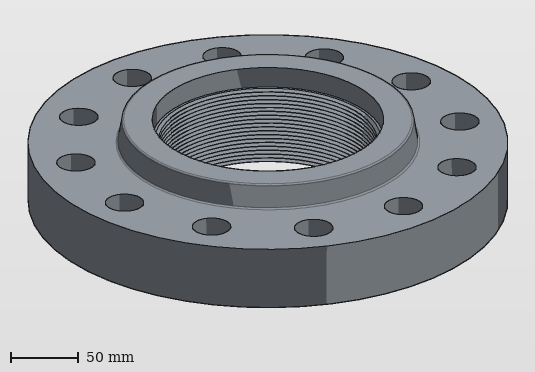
import cadquery as cq

flange_diameter = 355.5
flange_thickness = 48.5
bolt_circle_diameter = 292.2
bolt_hole_diameter = 28.5
bolt_hole_count = 12

raised_face_diameter = 241.5
raised_face_height = 7.5

overall_height = 74.5
hub_base_radius = 111.3
hub_top_radius = 108.0
hub_edge_fillet = 1.5

counterbore_radius = 85.5

thread_pitch = 3.15
thread_depth = 2.5
thread_taper = 1 / 32
crest_radius_at_bottom = 79.3
crest_count = 19

tolerance = 0.05

flange_top = raised_face_height + flange_thickness


def crest_radius(height):
    """Radius of the thread crests, widening upwards with the taper."""
    return crest_radius_at_bottom + thread_taper * height


def make_flange():
    raised_face = cq.Workplane("XY").circle(raised_face_diameter / 2).extrude(raised_face_height)
    disc = (
        cq.Workplane("XY")
        .workplane(offset=raised_face_height)
        .circle(flange_diameter / 2)
        .extrude(flange_thickness)
    )
    return raised_face.union(disc)


def make_hub():
    return (
        cq.Workplane("XZ")
        .moveTo(0, flange_top)
        .lineTo(hub_base_radius, flange_top)
        .lineTo(hub_top_radius, overall_height)
        .lineTo(0, overall_height)
        .close()
        .revolve(360, (0, 0, 0), (0, 1, 0))
    )


def is_hub_edge(edge):
    """True for the circles at the foot and at the top of the hub."""
    return (
        edge.geomType() == "CIRCLE"
        and edge.radius() <= hub_base_radius + tolerance
        and edge.Center().z >= flange_top - tolerance
    )


def make_bore():
    """Threaded bore and counterbore as one revolved cutting body."""
    counterbore_floor = (crest_count - 0.5) * thread_pitch
    profile = [(0, 0)]
    for index in range(crest_count):
        crest_height = index * thread_pitch
        root_height = crest_height + thread_pitch / 2
        root_radius = crest_radius(root_height) + thread_depth
        profile.append((crest_radius(crest_height), crest_height))
        profile.append((root_radius, root_height))
    profile += [
        (counterbore_radius, counterbore_floor),
        (counterbore_radius, overall_height),
        (0, overall_height),
    ]
    return cq.Workplane("XZ").polyline(profile).close().revolve(360, (0, 0, 0), (0, 1, 0))


def make_bolt_holes():
    return (
        cq.Workplane("XY")
        .polarArray(bolt_circle_diameter / 2, 0, 360, bolt_hole_count)
        .circle(bolt_hole_diameter / 2)
        .extrude(overall_height)
    )


body = make_flange().union(make_hub())
body = body.edges().filter(is_hub_edge).fillet(hub_edge_fillet)
result = body.cut(make_bore()).cut(make_bolt_holes())